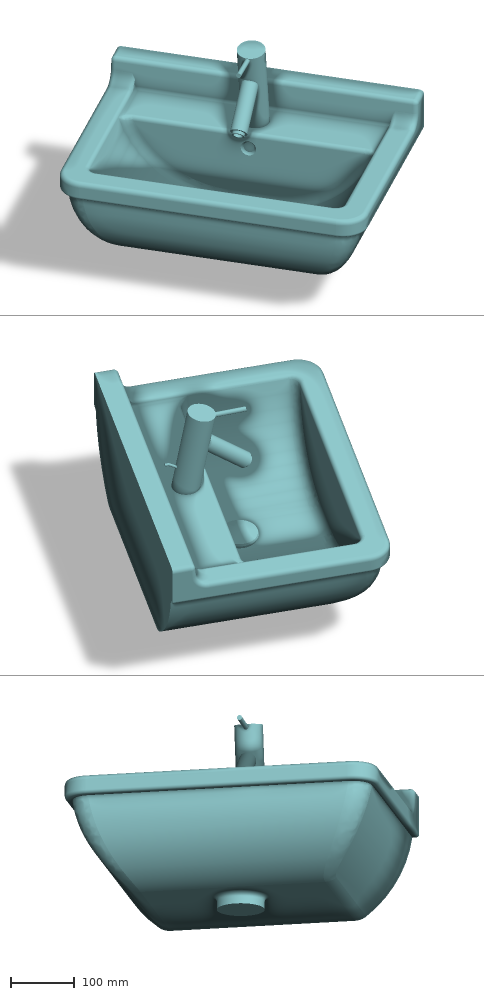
import cadquery as cq
import math


WIDTH = 500.0
DEPTH = 360.0
RIM_TOP = 160.0
RIM_BOTTOM = 130.0
RIM_CORNER_RADIUS = 41.0
TOP_EDGE_RADIUS = 7.5
UNDER_EDGE_RADIUS = 5.0
OPENING_EDGE_RADIUS = 7.0

SPLASH_TOP = 200.0
SPLASH_TOP_DEPTH = 37.0
SPLASH_SLOPE = 6.0
SPLASH_BLEND_RADIUS = 20.0

BOWL_TOP_HALF_WIDTH = 239.0
BOWL_BOTTOM_HALF_WIDTH = 157.0
BOWL_SIDE_RADIUS = 189.0
BOWL_FRONT = 347.0
BOWL_FRONT_RADIUS = 114.0
BOWL_EDGE_RADIUS = 30.0

FLOOR = 30.0
FLOOR_HALF_WIDTH = 33.0
TROUGH_RADIUS = 184.0
TROUGH_FRONT = 321.0
TROUGH_FRONT_DRAFT = 4.0
TROUGH_EDGE_RADIUS = 15.0
DECK = 152.0
DECK_FRONT = 126.0
DECK_FOOT_RADIUS = 5.0
DECK_LIP_RADIUS = 7.0

OVERFLOW_HEIGHT = 125.0
OVERFLOW_RADIUS = 12.5
OVERFLOW_END_RADIUS = 9.0
OVERFLOW_DEPTH = 4.5

DRAIN_Y = -171.0
OUTLET_RADIUS = 37.5
OUTLET_LENGTH = 20.0
OUTLET_BLEND_RADIUS = 7.0
STOPPER_RADIUS = 31.0
STOPPER_FOOT_RADIUS = 29.0
STOPPER_FOOT_HEIGHT = 3.5
STOPPER_EDGE_HEIGHT = 2.0
STOPPER_TOP_RADIUS = 29.5
STOPPER_BEVEL_HEIGHT = 3.5
STOPPER_CROWN = 4.0

TAP_Y = -85.0
TAP_LEAN = 10.0
TAP_RADIUS = 22.5
COLUMN_LENGTH = 105.5
CAP_LENGTH = 40.5

SPOUT_RADIUS = 13.75
SPOUT_DROP = 39.0
SPOUT_HEIGHT = 98.0
SPOUT_LENGTH = 101.5
NOZZLE_RADIUS = 10.0
NOZZLE_BORE_RADIUS = 7.5
NOZZLE_LENGTH = 5.0

LEVER_RADIUS = 4.0
LEVER_END_HEIGHT = 289.0
LEVER_RISE = 2.0
LEVER_END = 181.5
ROD_RADIUS = 2.25
ROD_HEIGHT = 201.0
ROD_END_Y = -51.0
ROD_BEND_Y = -57.0
ROD_DROP = 32.0

OVERSHOOT = 5.0
OPENING_TOP = SPLASH_TOP + OVERSHOOT


def splash_depth_at(height):
    """Distance of the sloping splashback face from the wall."""
    return SPLASH_TOP_DEPTH + (SPLASH_TOP - height) * math.tan(math.radians(SPLASH_SLOPE))


SPLASH_FOOT = splash_depth_at(RIM_TOP)
BLEND_FRONT_Y = -SPLASH_FOOT - SPLASH_BLEND_RADIUS * math.tan(math.radians((90 - SPLASH_SLOPE) / 2))


def edge_at(body, x, y, z):
    """The edge of the body whose centre is nearest to a point."""
    return body.edges(cq.selectors.NearestToPointSelector((x, y, z)))


def slab(y_back, y_front):
    """A block wider and taller than the basin between two planes across Y."""
    size = 2 * WIDTH
    return cq.Workplane("XY").box(size, y_back - y_front, size).translate((0, (y_back + y_front) / 2, 0))




def rim_and_splashback():
    body = (
        cq.Workplane("YZ")
        .moveTo(0, RIM_BOTTOM)
        .lineTo(-DEPTH, RIM_BOTTOM)
        .lineTo(-DEPTH, RIM_TOP)
        .lineTo(-SPLASH_FOOT, RIM_TOP)
        .lineTo(-SPLASH_TOP_DEPTH, SPLASH_TOP)
        .lineTo(0, SPLASH_TOP)
        .close()
        .extrude(WIDTH / 2, both=True)
    )
    body = body.edges("|Z and <Y").fillet(RIM_CORNER_RADIUS)
    body = edge_at(body, 0, -SPLASH_FOOT, RIM_TOP).fillet(SPLASH_BLEND_RADIUS)
    body = body.faces("<Z").edges("not >Y").fillet(UNDER_EDGE_RADIUS)
    above_rim = cq.selectors.BoxSelector(
        (-WIDTH, -DEPTH, RIM_TOP - OVERSHOOT),
        (WIDTH, -OVERSHOOT, SPLASH_TOP + OVERSHOOT),
    )
    side_edges = body.faces("<X or >X").edges(above_rim)
    splash_edge = body.faces(">Z").edges("<Y")
    return side_edges.add(splash_edge).fillet(TOP_EDGE_RADIUS)


def outer_bowl():
    section = (
        cq.Workplane("XZ")
        .moveTo(-BOWL_BOTTOM_HALF_WIDTH, 0)
        .lineTo(BOWL_BOTTOM_HALF_WIDTH, 0)
        .radiusArc((BOWL_TOP_HALF_WIDTH, RIM_BOTTOM), -BOWL_SIDE_RADIUS)
        .lineTo(-BOWL_TOP_HALF_WIDTH, RIM_BOTTOM)
        .radiusArc((-BOWL_BOTTOM_HALF_WIDTH, 0), -BOWL_SIDE_RADIUS)
        .close()
        .extrude(DEPTH)
    )
    rim_inset = BOWL_FRONT_RADIUS - math.sqrt(BOWL_FRONT_RADIUS**2 - (RIM_BOTTOM - BOWL_FRONT_RADIUS) ** 2)
    side_view = (
        cq.Workplane("YZ")
        .lineTo(BOWL_FRONT_RADIUS - BOWL_FRONT, 0)
        .threePointArc((-BOWL_FRONT, BOWL_FRONT_RADIUS), (rim_inset - BOWL_FRONT, RIM_BOTTOM))
        .lineTo(0, RIM_BOTTOM)
        .close()
        .extrude(WIDTH / 2, both=True)
    )
    bowl = section.intersect(side_view)
    return bowl.edges("|Y").edges("<Z").edges("<X or >X").fillet(BOWL_EDGE_RADIUS)


def trough_half_width(height):
    centre_height = FLOOR + TROUGH_RADIUS
    return FLOOR_HALF_WIDTH + math.sqrt(TROUGH_RADIUS**2 - (centre_height - height) ** 2)


def trough():
    """The rounded section of the bowl, running from the wall to the front and up past the rim."""
    top_half_width = trough_half_width(OPENING_TOP)
    return (
        cq.Workplane("XZ")
        .moveTo(-FLOOR_HALF_WIDTH, FLOOR)
        .lineTo(FLOOR_HALF_WIDTH, FLOOR)
        .radiusArc((top_half_width, OPENING_TOP), -TROUGH_RADIUS)
        .lineTo(-top_half_width, OPENING_TOP)
        .radiusArc((-FLOOR_HALF_WIDTH, FLOOR), -TROUGH_RADIUS)
        .close()
        .extrude(DEPTH)
    )


def opening():
    """The space inside the basin: the bowl and the shallower part over the tap deck."""
    floor_front = (OPENING_TOP - FLOOR) * math.tan(math.radians(TROUGH_FRONT_DRAFT)) - TROUGH_FRONT
    deck_back = -splash_depth_at(DECK)
    side_view = (
        cq.Workplane("YZ")
        .moveTo(-DECK_FRONT, FLOOR)
        .lineTo(floor_front, FLOOR)
        .lineTo(-TROUGH_FRONT, OPENING_TOP)
        .lineTo(-splash_depth_at(OPENING_TOP), OPENING_TOP)
        .lineTo(deck_back, DECK)
        .lineTo(-DECK_FRONT, DECK)
        .close()
        .extrude(WIDTH / 2, both=True)
    )
    space = trough().intersect(side_view)
    space = edge_at(space, 0, floor_front, FLOOR).fillet(TROUGH_EDGE_RADIUS)
    deck_face = space.faces(cq.selectors.NearestToPointSelector((0, -DECK_FRONT / 2, DECK)))
    space = deck_face.edges("not <Y").fillet(DECK_FOOT_RADIUS)
    space = edge_at(space, 0, -DECK_FRONT, FLOOR).fillet(TROUGH_EDGE_RADIUS)
    space = edge_at(space, 0, -DECK_FRONT, DECK).fillet(DECK_LIP_RADIUS)
    upright = cq.Workplane("XY").box(2 * trough_half_width(RIM_TOP), 2 * DEPTH, 2 * OPENING_TOP)
    return space.intersect(upright)


def in_front_of_splashback():
    return (
        cq.Workplane("YZ")
        .moveTo(-splash_depth_at(0), 0)
        .lineTo(-splash_depth_at(SPLASH_TOP), SPLASH_TOP)
        .lineTo(-DEPTH, SPLASH_TOP)
        .lineTo(-DEPTH, 0)
        .close()
        .extrude(WIDTH / 2, both=True)
    )


def rounded_opening_edge(body):
    """Round the rim around the opening, and carry the rounding up the blend to the splashback."""
    sharp = body.intersect(slab(BLEND_FRONT_Y, -WIDTH))
    rounded = edge_at(sharp, 0, -TROUGH_FRONT, RIM_TOP).fillet(OPENING_EDGE_RADIUS)
    rear = body.intersect(slab(WIDTH, BLEND_FRONT_Y))
    blend_axis = cq.Vector(0, BLEND_FRONT_Y, RIM_TOP + SPLASH_BLEND_RADIUS)
    for corner in sharp.cut(rounded).faces(">Y").vals():
        sweep = cq.Solid.revolve(corner, 90, blend_axis, blend_axis + cq.Vector(5, 0, 0))
        rear = rear.cut(in_front_of_splashback().intersect(cq.Workplane(sweep)))
    return rounded.union(rear)


def overflow():
    taper = cq.Solid.makeCone(
        OVERFLOW_RADIUS,
        OVERFLOW_END_RADIUS,
        OVERFLOW_DEPTH,
        cq.Vector(0, -DECK_FRONT, OVERFLOW_HEIGHT),
        cq.Vector(0, 1, 0),
    )
    return cq.Workplane(taper)


def drain_outlet():
    """Pipe below the bowl, flaring out where it meets the underside."""
    blend = OUTLET_BLEND_RADIUS
    profile = (
        cq.Workplane("XZ")
        .lineTo(0, -OUTLET_LENGTH)
        .lineTo(OUTLET_RADIUS, -OUTLET_LENGTH)
        .lineTo(OUTLET_RADIUS, -blend)
        .radiusArc((OUTLET_RADIUS + blend, 0), blend)
        .close()
    )
    return profile.revolve(360, (0, 0), (0, 1)).translate((0, DRAIN_Y, 0))


def basin_body():
    body = rim_and_splashback().union(outer_bowl()).cut(opening())
    body = rounded_opening_edge(body)
    return body.cut(overflow()).union(drain_outlet()).clean()




def stopper_body():
    """Mushroom-shaped plug with a slightly domed top, standing on the bowl floor."""
    edge_top = STOPPER_FOOT_HEIGHT + STOPPER_EDGE_HEIGHT
    bevel_top = edge_top + STOPPER_BEVEL_HEIGHT
    crown = bevel_top + STOPPER_CROWN
    dome_radius = (STOPPER_TOP_RADIUS**2 + STOPPER_CROWN**2) / (2 * STOPPER_CROWN)
    profile = (
        cq.Workplane("XZ")
        .lineTo(STOPPER_FOOT_RADIUS, 0)
        .lineTo(STOPPER_FOOT_RADIUS, STOPPER_FOOT_HEIGHT)
        .lineTo(STOPPER_RADIUS, STOPPER_FOOT_HEIGHT)
        .lineTo(STOPPER_RADIUS, edge_top)
        .lineTo(STOPPER_TOP_RADIUS, bevel_top)
        .radiusArc((0, crown), -dome_radius)
        .close()
    )
    return profile.revolve(360, (0, 0), (0, 1)).translate((0, DRAIN_Y, FLOOR))



LEAN = math.radians(TAP_LEAN)
TAP_AXIS = cq.Vector(0, -math.sin(LEAN), math.cos(LEAN))
TAP_FOOT = cq.Vector(0, TAP_Y, DECK)
DROP = math.radians(SPOUT_DROP)
SPOUT_AXIS = cq.Vector(0, -math.cos(DROP), -math.sin(DROP))
SPOUT_ROOT = TAP_FOOT + TAP_AXIS * SPOUT_HEIGHT


def rod_between(start, axis, length, radius):
    return cq.Workplane(cq.Solid.makeCylinder(radius, length, start, axis))


def column_body():
    """Leaning cylinder whose foot is cut level with the deck."""
    column = rod_between(TAP_FOOT - TAP_AXIS * TAP_RADIUS, TAP_AXIS, COLUMN_LENGTH + TAP_RADIUS, TAP_RADIUS)
    below_deck = cq.Workplane("XY").box(WIDTH, WIDTH, DECK, centered=(True, True, False))
    return column.cut(below_deck)


def cap_body():
    return rod_between(TAP_FOOT + TAP_AXIS * COLUMN_LENGTH, TAP_AXIS, CAP_LENGTH, TAP_RADIUS)


def spout_body():
    """Cylinder that starts inside the column, trimmed to the column's surface."""
    start = SPOUT_ROOT + SPOUT_AXIS * SPOUT_RADIUS
    return rod_between(start, SPOUT_AXIS, SPOUT_LENGTH - SPOUT_RADIUS, SPOUT_RADIUS).cut(column_body())


def nozzle_body():
    """Short tube on the end of the spout."""
    start = SPOUT_ROOT + SPOUT_AXIS * SPOUT_LENGTH
    tube = rod_between(start, SPOUT_AXIS, NOZZLE_LENGTH, NOZZLE_RADIUS)
    return tube.cut(rod_between(start, SPOUT_AXIS, NOZZLE_LENGTH, NOZZLE_BORE_RADIUS))


def lever_body():
    """Thin rod that rises slightly from the front of the cap to its free end."""
    rise = math.radians(LEVER_RISE)
    towards_cap = cq.Vector(0, math.cos(rise), -math.sin(rise))
    cap_axis_y = TAP_Y - (LEVER_END_HEIGHT - DECK) * math.tan(LEAN)
    free_end = cq.Vector(0, -LEVER_END, LEVER_END_HEIGHT)
    return rod_between(free_end, towards_cap, cap_axis_y + LEVER_END, LEVER_RADIUS).cut(cap_body())


def lift_rod_body():
    """Thin rod that leaves the back of the column at a slope and ends level."""
    run = ROD_BEND_Y - TAP_Y
    path = (
        cq.Workplane("YZ")
        .moveTo(ROD_END_Y, ROD_HEIGHT)
        .lineTo(ROD_BEND_Y, ROD_HEIGHT)
        .lineTo(TAP_Y, ROD_HEIGHT - run * math.tan(math.radians(ROD_DROP)))
    )
    end_circle = cq.Workplane("XZ", origin=(0, ROD_END_Y, ROD_HEIGHT)).circle(ROD_RADIUS)
    return end_circle.sweep(path, transition="round").cut(column_body())


basin = basin_body()
stopper = stopper_body()
column = column_body()
cap = cap_body()
spout = spout_body()
nozzle = nozzle_body()
lever = lever_body()
lift_rod = lift_rod_body()

result = cq.Compound.makeCompound(
    [
        basin.val(),
        stopper.val(),
        column.val(),
        cap.val(),
        spout.val(),
        nozzle.val(),
        lever.val(),
        lift_rod.val(),
    ]
)